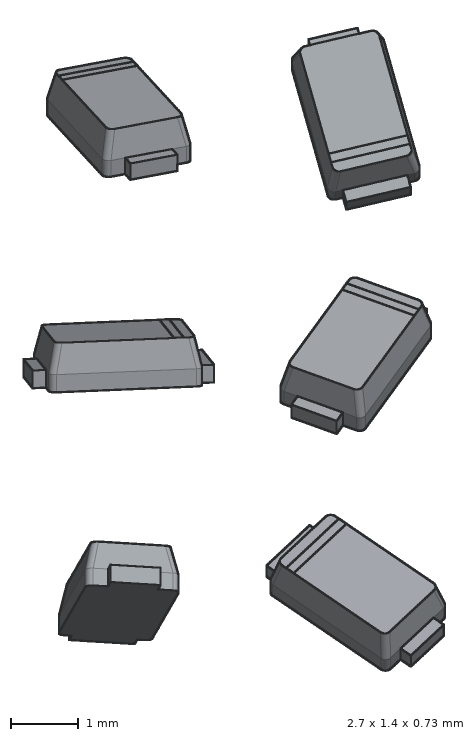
import cadquery as cq

overall_length = 2.7
body_width = 1.4
height = 0.73
lead_reach = 0.2
body_length = overall_length - 2 * lead_reach
base_height = 0.27
top_inset = 0.1
corner_radius = 0.1

wide_lead_width = 0.983
narrow_lead_width = 0.75

band_width = 0.145
band_offset = 0.175
band_thickness = 0.003

top_length = body_length - 2 * top_inset
top_width = body_width - 2 * top_inset
body_top = height - band_thickness


def rounded_rectangle(length, width):
    return cq.Sketch().rect(length, width).vertices().fillet(corner_radius)


def make_body():
    """Straight-sided base below a tapered cap with equal corner radii."""
    lower_outline = rounded_rectangle(body_length, body_width)
    upper_outline = rounded_rectangle(top_length, top_width)
    base = cq.Workplane("XY").placeSketch(lower_outline).extrude(base_height)
    cap = (
        cq.Workplane("XY")
        .workplane(offset=base_height)
        .placeSketch(
            lower_outline,
            upper_outline.moved(cq.Location(cq.Vector(0, 0, body_top - base_height))),
        )
        .loft(ruled=True)
    )
    return base.union(cap)


def make_lead(side, width):
    """Block from the package centre out to the end at side (-1 or +1)."""
    half_length = overall_length / 2
    return (
        cq.Workplane("XY")
        .center(side * half_length / 2, 0)
        .rect(half_length, width)
        .extrude(base_height)
    )


def make_band():
    band_center = -top_length / 2 + band_offset + band_width / 2
    return (
        cq.Workplane("XY")
        .workplane(offset=body_top)
        .center(band_center, 0)
        .rect(band_width, top_width)
        .extrude(band_thickness)
    )


result = (
    make_body()
    .union(make_lead(-1, wide_lead_width))
    .union(make_lead(1, narrow_lead_width))
    .union(make_band())
)